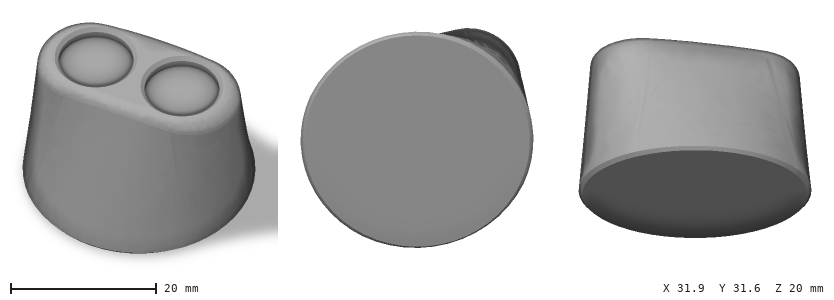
import cadquery as cq
import math

foot_length = 31.9
foot_width = 31.55
foot_bevel = 0.5
foot_corner_angle = 43.0

height = 20.0
crown_length = 28.97
crown_end_diameter = 13.65
crown_side_bow = 0.1
crown_corner_angle = 90.0
crown_rounding = 2.05

pocket_spacing = 12.95
pocket_diameter = 10.3
pocket_depth = 1.6
mouth_chamfer = 0.5


def outline(z, end_center, end_radius, corner_angle, side_reach):
    """Two end arcs, each spanning +/- corner_angle about X, joined by bowed sides."""
    angle = math.radians(corner_angle)
    corner_x = end_center + end_radius * math.cos(angle)
    corner_y = end_radius * math.sin(angle)
    tip_x = end_center + end_radius
    return (
        cq.Workplane("XY", origin=(0, 0, z))
        .moveTo(corner_x, -corner_y)
        .threePointArc((tip_x, 0), (corner_x, corner_y))
        .threePointArc((0, side_reach), (-corner_x, corner_y))
        .threePointArc((-tip_x, 0), (-corner_x, -corner_y))
        .threePointArc((0, -side_reach), (corner_x, -corner_y))
        .close()
        .val()
    )


def make_body():
    """Beveled foot, flared side and rounded crown."""
    foot_radius = foot_length / 2
    foot_reach = foot_width / 2
    sole_radius = foot_radius - foot_bevel
    crown_radius = crown_end_diameter / 2
    crown_center = crown_length / 2 - crown_radius

    sole = outline(0, 0, sole_radius, foot_corner_angle, sole_radius)
    rim = outline(foot_bevel, 0, foot_radius, foot_corner_angle, foot_reach)
    crown = outline(
        height, crown_center, crown_radius, crown_corner_angle, crown_radius + crown_side_bow
    )

    foot = cq.Workplane(obj=cq.Solid.makeLoft([sole, rim], True))
    flare = cq.Workplane(obj=cq.Solid.makeLoft([rim, crown], True))
    rounded_flare = flare.faces(">Z").edges().fillet(crown_rounding)
    return rounded_flare.union(foot)


def make_pocket(center_x):
    """Cutter for one flat-bottomed pocket that widens at its mouth."""
    radius = pocket_diameter / 2
    bore = (
        cq.Workplane("XY", origin=(center_x, 0, height - pocket_depth))
        .circle(radius)
        .extrude(pocket_depth)
    )
    mouth = (
        cq.Workplane("XY", origin=(center_x, 0, height - mouth_chamfer))
        .circle(radius)
        .workplane(offset=mouth_chamfer)
        .circle(radius + mouth_chamfer)
        .loft(ruled=True)
    )
    return bore.union(mouth)


result = make_body()
for side in (-1, 1):
    result = result.cut(make_pocket(side * pocket_spacing / 2))